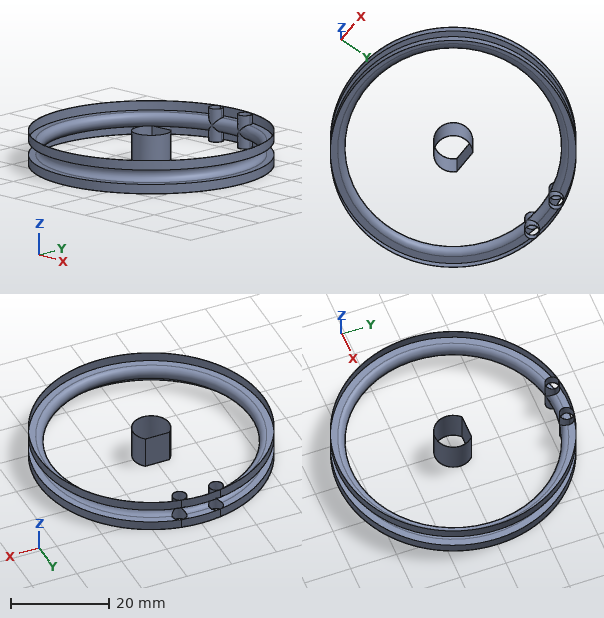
import cadquery as cq
import math

wheel_diameter = 50.0
wheel_height = 7.0
wheel_radius = wheel_diameter / 2

cord_diameter = 3.0
cord_radius = cord_diameter / 2
cord_circle_radius = wheel_radius - cord_radius

cord_hole_angles = (-10.0, 10.0)

bore_diameter = 8.0
bore_flat_distance = 2.98
bore_flat_tilt = 0.55


def grooved_wheel():
    """Revolve the half section of the wheel, including the round-bottomed groove."""
    half_height = wheel_height / 2
    return (
        cq.Workplane("XZ")
        .moveTo(0, -half_height)
        .lineTo(wheel_radius, -half_height)
        .lineTo(wheel_radius, -cord_radius)
        .lineTo(cord_circle_radius, -cord_radius)
        .threePointArc((cord_circle_radius - cord_radius, 0), (cord_circle_radius, cord_radius))
        .lineTo(wheel_radius, cord_radius)
        .lineTo(wheel_radius, half_height)
        .lineTo(0, half_height)
        .close()
        .revolve(360, (0, 0), (0, 1))
    )


def shaft_bore():
    """Round bore cut off by a flat."""
    bore = cq.Workplane("XY").circle(bore_diameter / 2).extrude(wheel_height / 2, both=True)
    flat_side = (
        cq.Workplane("XY")
        .center(0, bore_flat_distance + bore_diameter / 2)
        .rect(2 * bore_diameter, bore_diameter)
        .extrude(wheel_height, both=True)
        .rotate((0, 0, 0), (0, 0, 1), bore_flat_tilt)
    )
    return bore.cut(flat_side)


def cord_hole(angle):
    """Through hole on the cord circle, at an angle measured from +Y."""
    turn = math.radians(angle)
    return (
        cq.Workplane("XY")
        .center(cord_circle_radius * math.sin(turn), cord_circle_radius * math.cos(turn))
        .circle(cord_radius)
        .extrude(wheel_height, both=True)
    )


result = grooved_wheel().cut(shaft_bore())
for hole_angle in cord_hole_angles:
    result = result.cut(cord_hole(hole_angle))